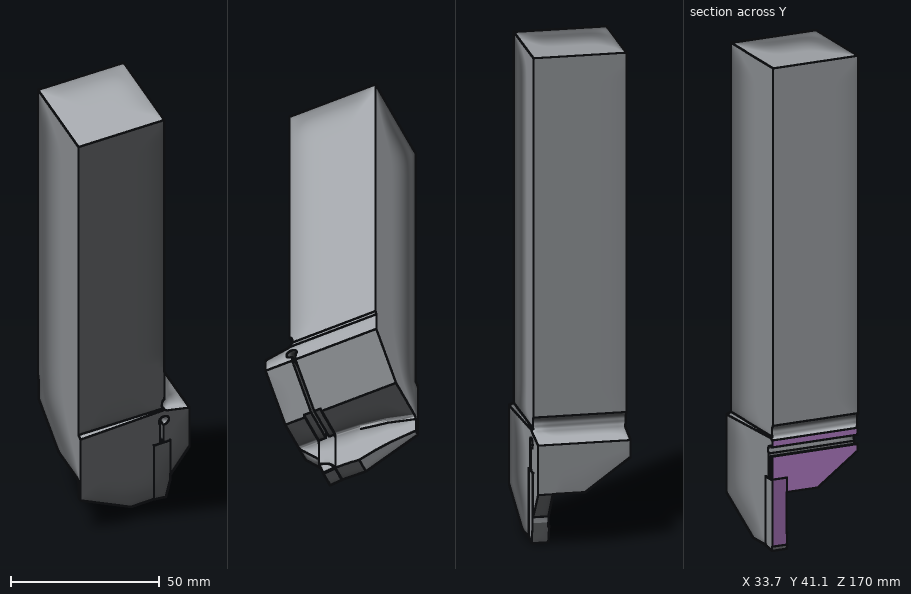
import cadquery as cq

total_height = 170.0
shank_width = 32.0
head_depth = 41.1
head_front_x = 33.7
head_back_x = 32.3

shoulder_top_z = 40.5
shoulder_low_z = 39.3
side_relief = 0.5
jaw_top_z = 36.9
underside_z = 19.5
jaw_tip = (34.0, 9.7)
bevel_top_z = 31.0
bevel_end_x = 16.2

neck_top_z = 44.0
neck_mid = (31.0, 41.8)
neck_end = (32.6, 39.1)

blade_inner_x = 27.2
blade_front_x = 31.8
blade_bottom_z = 1.0
blade_heel_y = 19.0
blade_front_z = 11.7
root_radius = 1.2

slit_hole_y = 31.5
slit_hole_z = 35.0
slit_hole_radius = 1.9
slit_y = 30.6
slit_width = 1.2

insert_back_y = 27.7
insert_front_y = 33.8
insert_top_z = 25.2
insert_rake_z = 7.5
insert_tip_y = 32.1
insert_heel_z = 0.5
insert_outer_x = 32.6
cutting_overhang = 0.3
cutting_top_z = 6.1
cutting_mid = (30.6, 4.8)
access_top_z = 20.0
cutting_corner = 0.25

pick_margin = 0.2
clear = 8.5


def side_sketch(start_x):
    """Sketch plane with local (Y, Z), extruding toward +X."""
    return cq.Workplane("YZ", origin=(start_x, 0, 0))


def make_side_profile():
    """Whole holder as seen along X, including the neck relief and blade."""
    return (
        side_sketch(0)
        .moveTo(0, total_height)
        .lineTo(shank_width, total_height)
        .lineTo(shank_width, neck_top_z)
        .threePointArc(neck_mid, neck_end)
        .lineTo(head_depth, jaw_top_z)
        .lineTo(head_depth, underside_z)
        .lineTo(*jaw_tip)
        .lineTo(jaw_tip[0], blade_bottom_z)
        .lineTo(blade_heel_y, blade_bottom_z)
        .lineTo(0, blade_front_z)
        .close()
        .extrude(head_front_x)
    )


def make_front_profile():
    """Shank, shoulders and bevelled head as seen along Y."""
    return (
        cq.Workplane("XZ")
        .moveTo(0, total_height)
        .lineTo(shank_width, total_height)
        .lineTo(shank_width, shoulder_top_z - side_relief)
        .lineTo(head_front_x, shoulder_low_z)
        .lineTo(head_front_x, underside_z)
        .lineTo(bevel_end_x, underside_z)
        .lineTo(side_relief, bevel_top_z)
        .lineTo(side_relief, shoulder_low_z)
        .lineTo(0, shoulder_top_z)
        .close()
        .extrude(-head_depth)
    )


def make_blade():
    """Blade below the head, with its inner face an arc tangent to Y at the insert."""
    sagitta = blade_front_x - blade_inner_x
    arc_radius = (insert_back_y**2 + sagitta**2) / (2 * sagitta)
    mid_y = insert_back_y / 2
    mid_drop = arc_radius - (arc_radius**2 - mid_y**2) ** 0.5
    return (
        cq.Workplane("XY")
        .moveTo(head_front_x, 0)
        .lineTo(blade_front_x, 0)
        .threePointArc((blade_inner_x + mid_drop, mid_y), (blade_inner_x, insert_back_y))
        .lineTo(blade_inner_x, head_depth)
        .lineTo(head_front_x, head_depth)
        .close()
        .extrude(underside_z)
    )


def fillet_blade_root(body):
    """Round the inner corner between the blade and the head underside."""
    root = cq.selectors.BoxSelector(
        (blade_inner_x - pick_margin, 0, underside_z - pick_margin),
        (blade_front_x + pick_margin, head_depth, underside_z + pick_margin),
    )
    return body.edges(root).fillet(root_radius)


def make_flank_cut():
    """Material outside the slanted outer flank of the head."""
    return (
        cq.Workplane("XY")
        .moveTo(head_front_x, 0)
        .lineTo(head_front_x + clear, 0)
        .lineTo(head_front_x + clear, head_depth)
        .lineTo(head_back_x, head_depth)
        .close()
        .extrude(shoulder_top_z)
    )


def make_clamping_slit():
    """Slit from the insert pocket up to its relief hole."""
    hole = (
        side_sketch(0)
        .center(slit_hole_y, slit_hole_z)
        .circle(slit_hole_radius)
        .extrude(head_front_x)
    )
    slit_height = slit_hole_z - underside_z
    slit = (
        side_sketch(0)
        .center(slit_y, underside_z + slit_height / 2)
        .rect(slit_width, slit_height)
        .extrude(head_front_x)
    )
    return hole.union(slit)


def make_insert_pocket():
    """Seat for the insert, open through the outer flank and the jaw front."""
    return (
        side_sketch(blade_inner_x)
        .moveTo(insert_back_y, 0)
        .lineTo(insert_back_y, insert_top_z)
        .lineTo(insert_front_y, insert_top_z)
        .lineTo(insert_front_y, jaw_tip[1])
        .lineTo(jaw_tip[0], jaw_tip[1])
        .lineTo(jaw_tip[0], 0)
        .close()
        .extrude(clear)
    )


def make_access_groove():
    """Groove in the head underside that clears the inner side of the insert."""
    return (
        side_sketch(0)
        .moveTo(insert_back_y, 0)
        .lineTo(insert_back_y, access_top_z)
        .lineTo(insert_front_y, access_top_z)
        .lineTo(insert_front_y, 0)
        .close()
        .extrude(blade_inner_x)
    )


def make_holder():
    silhouette = make_front_profile().union(make_blade())
    body = fillet_blade_root(silhouette).intersect(make_side_profile())
    return (
        body.cut(make_flank_cut())
        .cut(make_clamping_slit())
        .cut(make_insert_pocket())
        .cut(make_access_groove())
    )


def make_insert():
    shank = (
        side_sketch(blade_inner_x)
        .moveTo(insert_back_y, insert_heel_z)
        .lineTo(insert_back_y, insert_top_z)
        .lineTo(insert_front_y, insert_top_z)
        .lineTo(insert_front_y, insert_rake_z)
        .lineTo(insert_tip_y, 0)
        .close()
        .extrude(insert_outer_x - blade_inner_x)
    )
    rake_run = insert_front_y - insert_tip_y
    cutting_front_y = insert_tip_y + rake_run * cutting_top_z / insert_rake_z
    cutting_end = (
        side_sketch(blade_inner_x - cutting_overhang)
        .moveTo(insert_back_y, insert_heel_z)
        .threePointArc(cutting_mid, (cutting_front_y, cutting_top_z))
        .lineTo(insert_tip_y, 0)
        .close()
        .extrude(insert_outer_x - blade_inner_x + cutting_overhang)
    )
    side_edges = cq.selectors.BoxSelector(
        (0, insert_back_y + pick_margin, 0),
        (head_front_x, insert_tip_y - pick_margin, insert_heel_z),
    )
    return shank.union(cutting_end).edges(side_edges).chamfer(cutting_corner)


holder = make_holder()
insert = make_insert()
result = cq.Compound.makeCompound([holder.val(), insert.val()])